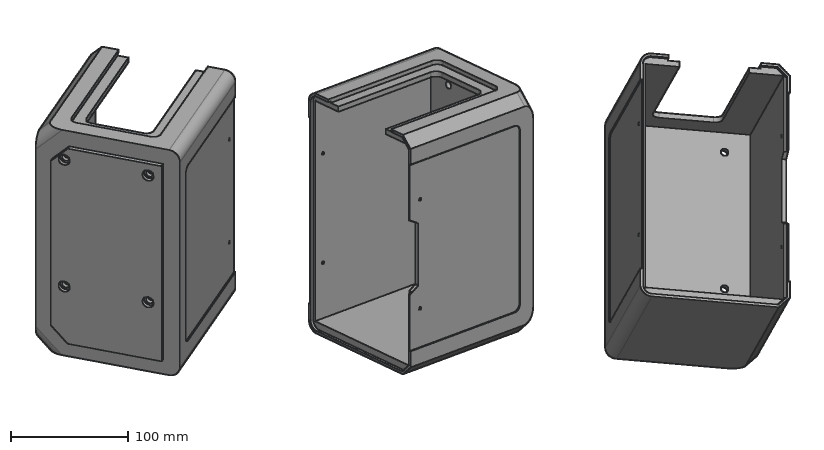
import cadquery as cq
import math

WIDTH = 130.7
HEIGHT = 225.0
TOTAL_DEPTH = 144.0
PLATE_THICKNESS = 4.0
PLATE_CHAMFER = 15.5
BODY_DEPTH = TOTAL_DEPTH - PLATE_THICKNESS

CORNER = 10.0
FRAME = 15.0
PANEL_INSET = CORNER + FRAME

SIDE_WALL = 5.0
END_WALL = 9.0
FRONT_WALL = 5.0
RABBET_DEPTH = 3.0
RABBET_SKIN = 2.5

LIP_DROP = 4.0
LIP_WIDTH = 10.0
LIP_RADIUS = 6.8

SIDE_PANEL_DEPTH = 1.1
SIDE_PANEL_RADIUS = 6.0

NOTCH_DEPTH = 10.0
NOTCH_MOUTH = 69.8
NOTCH_FLARE = math.radians(30)

SCREW_SPACING_X = 76.0
SCREW_SPACING_Z = 126.5
SCREW_TOP_INSET = 27.0
SCREW_DIAMETER = 6.5
SCREW_HEAD_DIAMETER = 10.1
SCREW_HEAD_DEPTH = 4.0
PIN_DIAMETER = 2.5
PIN_SPACING = 102.5
PIN_BACK_INSET = 12.0



def block(width, height, y_start, y_end):
    """Box centred on X and Z between two Y positions."""
    depth = y_end - y_start
    return cq.Workplane("XY").box(width, depth, height).translate((0, y_start + depth / 2, 0))


def make_body():
    """Solid block with chamfers at -X that roll over into the front, and roundings at +X."""
    body = block(WIDTH, HEIGHT, 0, BODY_DEPTH)
    body = body.edges("|Y and <X").chamfer(CORNER)
    body = body.edges("|Y and >X").fillet(CORNER)
    chamfer_middle = CORNER / 2
    for side in (-1, 1):
        front_edge = (chamfer_middle - WIDTH / 2, 0, side * (HEIGHT / 2 - chamfer_middle))
        body = body.edges(cq.selectors.NearestToPointSelector(front_edge)).fillet(CORNER)
    return body


def make_front_plate():
    """Raised plate on the front, its -X corners chamfered like the body."""
    plate = block(WIDTH - 2 * FRAME, HEIGHT - 2 * FRAME, -PLATE_THICKNESS, 0)
    return plate.edges("|Y and <X").chamfer(PLATE_CHAMFER)


def make_cavity():
    """Inside space, open at the back."""
    return block(WIDTH - 2 * SIDE_WALL, HEIGHT - 2 * END_WALL, FRONT_WALL, BODY_DEPTH)


def make_rabbet():
    """Seat around the back opening, following the outer outline."""
    seat = block(
        WIDTH - 2 * RABBET_SKIN,
        HEIGHT - 2 * RABBET_SKIN,
        BODY_DEPTH - RABBET_DEPTH,
        BODY_DEPTH,
    )
    seat_chamfer = CORNER - RABBET_SKIN * (2 - math.sqrt(2))
    seat = seat.edges("|Y and <X").chamfer(seat_chamfer)
    return seat.edges("|Y and >X").fillet(CORNER - RABBET_SKIN)


def make_top_cut(inset, front_inset, depth):
    """Cut down from the top, open at the back, with rounded front corners."""
    cut = block(WIDTH - 2 * inset, depth, front_inset, BODY_DEPTH)
    cut = cut.translate((0, 0, (HEIGHT - depth) / 2))
    return cut.edges("|Z and <Y").fillet(LIP_RADIUS)


def make_side_panel(side):
    """Shallow recess in a side face, open at the back, with rounded front corners."""
    panel = block(SIDE_PANEL_DEPTH, HEIGHT - 2 * PANEL_INSET, FRAME, BODY_DEPTH)
    panel = panel.edges("|X and <Y").fillet(SIDE_PANEL_RADIUS)
    return panel.translate((side * (WIDTH - SIDE_PANEL_DEPTH) / 2, 0, 0))


def make_notch():
    """Flared notch through the back edge of the -X wall only."""
    mouth = NOTCH_MOUTH / 2
    base = mouth - NOTCH_DEPTH * math.tan(NOTCH_FLARE)
    bottom = BODY_DEPTH - NOTCH_DEPTH
    outline = [(BODY_DEPTH, -mouth), (bottom, -base), (bottom, base), (BODY_DEPTH, mouth)]
    return cq.Workplane("YZ", origin=(-WIDTH / 2, 0, 0)).polyline(outline).close().extrude(SIDE_WALL)


def make_screw_holes():
    """Four counterbored holes through the front plate and wall."""
    top = HEIGHT / 2 - SCREW_TOP_INSET
    columns = (-SCREW_SPACING_X / 2, SCREW_SPACING_X / 2)
    rows = (top, top - SCREW_SPACING_Z)
    points = [(x, z) for x in columns for z in rows]
    face = cq.Workplane("XZ", origin=(0, -PLATE_THICKNESS, 0)).pushPoints(points)
    shanks = face.circle(SCREW_DIAMETER / 2).extrude(-(PLATE_THICKNESS + FRONT_WALL))
    heads = face.circle(SCREW_HEAD_DIAMETER / 2).extrude(-SCREW_HEAD_DEPTH)
    return shanks.union(heads)


def make_pin_holes():
    """Two small cross holes through both side walls near the back."""
    y = BODY_DEPTH - PIN_BACK_INSET
    points = [(y, -PIN_SPACING / 2), (y, PIN_SPACING / 2)]
    return cq.Workplane("YZ").pushPoints(points).circle(PIN_DIAMETER / 2).extrude(WIDTH / 2, both=True)


result = make_body().union(make_front_plate())
result = result.cut(make_cavity())
result = result.cut(make_rabbet())
result = result.cut(make_top_cut(PANEL_INSET, FRAME, LIP_DROP))
result = result.cut(make_top_cut(PANEL_INSET + LIP_WIDTH, FRAME + LIP_WIDTH, END_WALL))
for side in (-1, 1):
    result = result.cut(make_side_panel(side))
result = result.cut(make_notch())
result = result.cut(make_screw_holes())
result = result.cut(make_pin_holes())